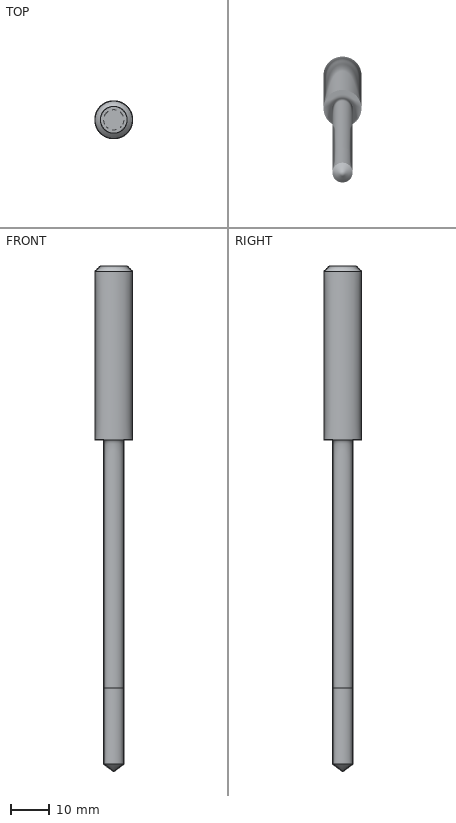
import cadquery as cq

total_length = 133.0
shank_diameter = 10.0
shank_length = 45.8
shank_chamfer = 1.5
drill_diameter = 5.3
cutting_length = 22.0
point_height = 2.0

shank_radius = shank_diameter / 2
drill_radius = drill_diameter / 2
shoulder_z = total_length - shank_length


def make_holder():
    """Thick shank with a chamfered end, and the slim neck below it."""
    shank = (
        cq.Workplane("XY", origin=(0, 0, shoulder_z))
        .circle(shank_radius)
        .extrude(shank_length)
        .faces(">Z")
        .chamfer(shank_chamfer)
    )
    neck = (
        cq.Workplane("XY", origin=(0, 0, cutting_length))
        .circle(drill_radius)
        .extrude(shoulder_z - cutting_length)
    )
    return shank.union(neck).solids()


def make_cutting_tip():
    """Cylinder as wide as the neck, ending in a conical point at Z = 0."""
    half_profile = (
        cq.Workplane("XZ")
        .moveTo(0, 0)
        .lineTo(drill_radius, point_height)
        .lineTo(drill_radius, cutting_length)
        .lineTo(0, cutting_length)
        .close()
    )
    return half_profile.revolve(360, (0, 0, 0), (0, 1, 0))


holder = make_holder()
cutting_tip = make_cutting_tip()

result = cq.Compound.makeCompound([holder.val(), cutting_tip.val()])